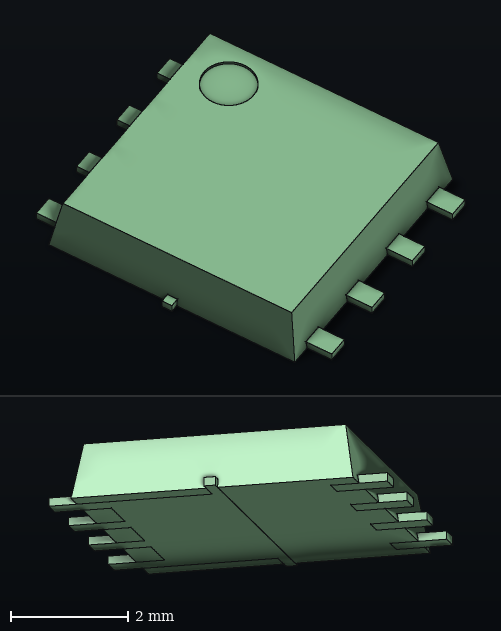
import cadquery as cq
import math

LEAD_SPAN = 6.0
TAB_SPAN = 5.3

HOUSING_WIDTH = 5.0
HOUSING_HEIGHT = 1.0
SIDE_DRAFT = 10.0

MARK_DIAMETER = 1.0
MARK_DEPTH = 0.05
MARK_X = -1.42
MARK_Y = 1.52

FRAME_THICKNESS = 0.15
LEAD_COUNT = 4
LEAD_PITCH = 1.27
LEAD_WIDTH = 0.4
TAB_WIDTH = 0.205

lead_projection = (LEAD_SPAN - HOUSING_WIDTH) / 2
lead_length = 2 * lead_projection
lead_rows = [(i - (LEAD_COUNT - 1) / 2) * LEAD_PITCH for i in range(LEAD_COUNT)]

pad_left = -TAB_WIDTH / 2
pad_right = LEAD_SPAN / 2 - lead_length
pad_length = lead_rows[-1] - lead_rows[0] + LEAD_WIDTH


def frame_plate(x_min, x_max, y_center, y_size):
    """Rectangular plate of the lead frame, lying on Z = 0."""
    return (
        cq.Workplane("XY")
        .center((x_min + x_max) / 2, y_center)
        .rect(x_max - x_min, y_size)
        .extrude(FRAME_THICKNESS)
    )


def make_source_lead(y_center):
    """Separate lead on the -X side."""
    tip = -LEAD_SPAN / 2
    return frame_plate(tip, tip + lead_length, y_center, LEAD_WIDTH)


def make_drain():
    """Pad in one piece with the leads on the +X side and the tab at each Y end."""
    pad = frame_plate(pad_left, pad_right, 0, pad_length)
    tabs = frame_plate(-TAB_WIDTH / 2, TAB_WIDTH / 2, 0, TAB_SPAN)
    drain = pad.union(tabs)
    for y_center in lead_rows:
        drain = drain.union(frame_plate(pad_right, LEAD_SPAN / 2, y_center, LEAD_WIDTH))
    return drain


def make_housing(frame_bodies):
    """Tapered block with the pin-one mark and recesses that fit the lead frame."""
    top_width = HOUSING_WIDTH - 2 * HOUSING_HEIGHT * math.tan(math.radians(SIDE_DRAFT))
    block = (
        cq.Workplane("XY")
        .rect(HOUSING_WIDTH, HOUSING_WIDTH)
        .workplane(offset=HOUSING_HEIGHT)
        .rect(top_width, top_width)
        .loft(ruled=True)
    )
    mark = (
        cq.Workplane("XY", origin=(MARK_X, MARK_Y, HOUSING_HEIGHT - MARK_DEPTH))
        .circle(MARK_DIAMETER / 2)
        .extrude(MARK_DEPTH)
    )
    housing = block.cut(mark)
    for body in frame_bodies:
        housing = housing.cut(body)
    return housing


source_leads = [make_source_lead(y_center) for y_center in lead_rows]
drain = make_drain()
housing = make_housing([*source_leads, drain])

result = cq.Compound.makeCompound([
    housing.solids().val(),
    drain.solids().val(),
    *[lead.val() for lead in source_leads],
])